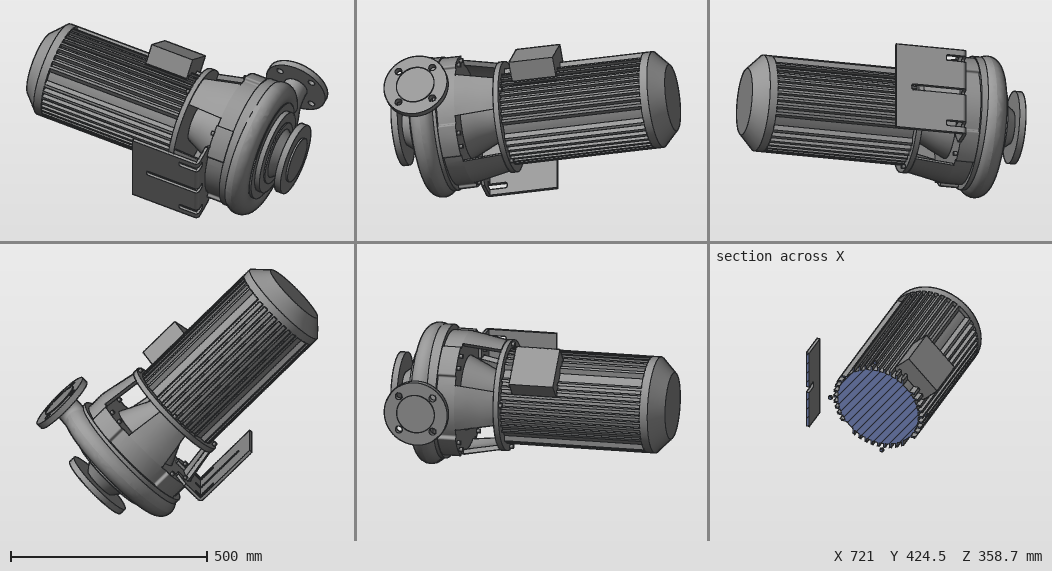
import cadquery as cq
import math


cap_cone_end = 37.5
cap_end = 58.5
motor_end = 423.0
adapter_start = 437.0
ring_start = 534.0
casing_start = 581.0
volute_middle = 619.0
hub_front = 665.0
collar_front = 668.5
suction_flange_start = 699.5
suction_flange_end = 716.0
overall_length = 721.0

motor_radius = 246.0 / 2
cap_end_radius = 85.0
motor_core_radius = 112.0
fin_thickness = 6.0
fin_span = 135.0
fins_per_side = 9

box_start = 277.5
box_length = 114.5
box_width = 111.0
box_height = 159.0
box_angle = 45

motor_flange_radius = 283.0 / 2
adapter_small_radius = 139.0
adapter_large_radius = 158.0
adapter_wall = 12.0
window_width = 122.5
bearing_small_radius = 99.0 / 2
bearing_large_radius = 192.0 / 2

ring_radius = 168.0
pocket_half_angle = 30
pocket_fillet = 4.0

screw_diameter = 10.0
screw_head = 9.0
motor_screw_circle = 133.5
motor_screw_offset = 4
ring_screw_circle = 158.0
ring_screw_angles = (38.5, 51.5, 128, 234, 308.5, 321.5)

foot_thickness = 8.0
foot_width = 228.5
foot_start = 350.0
foot_bottom = -198.0
foot_corner_y = -138.0
foot_top_y = -110.0
foot_top_half_width = 87.0
foot_bend_radius = 10.0
leg_notch_half_width = 60.0
foot_slot_width = 16.0
foot_slot_corner = 5.0
foot_slot_top = -172.0
side_slot_start = 481.0
side_slot_z = 90.0
middle_slot_start = 390.0
foot_screw_y = -131.0
foot_screw_z = 78.0

casing_radius = 342.0 / 2
volute_diameter = 64.0
volute_outlet_reach = 159.0
volute_throat_reach = 141.0
throat_arc_shift = 2.0
outlet_bend_radius = 47.0
volute_sections = 10
casing_core_radius = 130.0
hub_radius = 218.0 / 2
collar_radius = 165.0 / 2
suction_cone_radius = 65.5
suction_neck_radius = 42.5
suction_flange_radius = 185.0 / 2
suction_face_radius = 118.0 / 2

discharge_flange_radius = 165.0 / 2
discharge_face_radius = 99.0 / 2
discharge_flange_start = 208.0
discharge_flange_end = 224.0
discharge_face_end = 226.5
discharge_bolt_circle = 125.0
discharge_hole_diameter = 18.0

overlap = 3.5


def cylinder(start, end, radius):
    """Cylinder on the shaft axis."""
    return cq.Workplane("YZ", origin=(start, 0, 0)).circle(radius).extrude(end - start)


def cone(start, end, start_radius, end_radius):
    """Truncated cone on the shaft axis."""
    profile = [(start, 0), (start, start_radius), (end, end_radius), (end, 0)]
    return cq.Workplane("XY").polyline(profile).close().revolve(360, (0, 0, 0), (1, 0, 0))


def block(start, end, y_size, z_size):
    """Box centred on the shaft axis."""
    return cq.Workplane("YZ", origin=(start, 0, 0)).rect(y_size, z_size).extrude(end - start)


def polar(radius, angle):
    """Point (y, z) at an angle around the shaft."""
    return radius * math.cos(math.radians(angle)), radius * math.sin(math.radians(angle))


def screw_heads(seat, points):
    """Screw heads standing on the -X side of a seat."""
    plane = cq.Workplane("YZ", origin=(seat - screw_head, 0, 0))
    return plane.pushPoints(points).circle(screw_diameter / 2).extrude(screw_head + overlap)


def make_motor():
    cap = cone(0, cap_cone_end, cap_end_radius, motor_radius)
    cap = cap.union(cylinder(cap_cone_end, cap_end, motor_radius))
    core = cylinder(cap_end - overlap, motor_end + overlap, motor_core_radius)

    fin_pitch = fin_span / (fins_per_side - 1)
    fins = None
    for index in range(fins_per_side):
        offset = index * fin_pitch - fin_span / 2
        for y_size, z_size, shift in (
            (2 * motor_radius, fin_thickness, (0, 0, offset)),
            (fin_thickness, 2 * motor_radius, (0, offset, 0)),
        ):
            fin = block(cap_end - overlap, motor_end + overlap, y_size, z_size).translate(shift)
            fins = fin if fins is None else fins.union(fin)
    fins = fins.intersect(cylinder(0, motor_end + overlap, motor_radius))
    return cap.union(core).union(fins)


def make_terminal_box():
    box = cq.Workplane("XY", origin=(box_start, 0, 0)).box(
        box_length, box_width, box_height, centered=(False, True, False)
    )
    return box.rotate((0, 0, 0), (1, 0, 0), -box_angle)


def make_adapter():
    flange = cylinder(motor_end, adapter_start, motor_flange_radius)
    shell = cone(adapter_start, ring_start, adapter_small_radius, adapter_large_radius)
    shell = shell.cut(
        cone(
            adapter_start,
            ring_start,
            adapter_small_radius - adapter_wall,
            adapter_large_radius - adapter_wall,
        )
    )
    for angle in (45, 135):
        window = block(adapter_start, ring_start, 4 * adapter_large_radius, window_width)
        shell = shell.cut(window.rotate((0, 0, 0), (1, 0, 0), angle))
    bearing_housing = cone(adapter_start, ring_start, bearing_small_radius, bearing_large_radius)

    quarter_turns = range(0, 360, 90)
    screws = [polar(motor_screw_circle, turn + motor_screw_offset) for turn in quarter_turns]
    return flange.union(shell).union(bearing_housing).union(screw_heads(motor_end, screws))


def make_mounting_ring():
    outline = cq.Workplane("YZ", origin=(ring_start, 0, 0))
    outline = outline.moveTo(*polar(adapter_large_radius, -pocket_half_angle))
    for turn in range(0, 360, 90):
        pad_start = turn + pocket_half_angle
        pad_end = turn + 90 - pocket_half_angle
        outline = (
            outline.threePointArc(polar(adapter_large_radius, turn), polar(adapter_large_radius, pad_start))
            .lineTo(*polar(ring_radius, pad_start))
            .threePointArc(polar(ring_radius, turn + 45), polar(ring_radius, pad_end))
            .lineTo(*polar(adapter_large_radius, pad_end))
        )
    ring = outline.close().extrude(casing_start - ring_start)
    ring = ring.edges("|X").fillet(pocket_fillet)

    screws = [polar(ring_screw_circle, angle) for angle in ring_screw_angles]
    return ring.union(screw_heads(ring_start, screws))


def make_foot():
    half_width = foot_width / 2
    lip_start = ring_start - foot_thickness
    outline = [
        (foot_bottom, -half_width),
        (foot_corner_y, -half_width),
        (foot_top_y, -foot_top_half_width),
        (foot_top_y, foot_top_half_width),
        (foot_corner_y, half_width),
        (foot_bottom, half_width),
    ]
    lip = cq.Workplane("YZ", origin=(lip_start, 0, 0)).polyline(outline).close().extrude(foot_thickness)
    notch = cylinder(lip_start, ring_start, adapter_large_radius)
    notch = notch.intersect(block(lip_start, ring_start, 2 * ring_radius, 2 * leg_notch_half_width))
    lip = lip.cut(notch)

    plate = cq.Workplane("XY", origin=(foot_start, foot_bottom, 0)).box(
        ring_start - foot_start, foot_thickness, foot_width, centered=(False, False, True)
    )
    foot = plate.union(lip)
    foot = foot.edges("|Z and >X and <Y").fillet(foot_bend_radius)

    def slot(start, z):
        """Slot that runs along the plate, round the bend and up the lip."""
        length = ring_start - start
        height = foot_slot_top - foot_bottom
        cutter = cq.Workplane("XY", origin=(start, foot_bottom, z)).box(
            length, foot_thickness, foot_slot_width, centered=(False, False, True)
        )
        cutter = cutter.edges("|Y and <X").fillet(foot_slot_corner)
        riser = cq.Workplane("XY", origin=(lip_start, foot_bottom, z)).box(
            foot_thickness, height, foot_slot_width, centered=(False, False, True)
        )
        riser = riser.edges("|X and >Y").fillet(foot_slot_corner)
        return cutter.union(riser)

    for start, z in (
        (side_slot_start, -side_slot_z),
        (middle_slot_start, 0),
        (side_slot_start, side_slot_z),
    ):
        foot = foot.cut(slot(start, z))
    screws = [(foot_screw_y, -foot_screw_z), (foot_screw_y, foot_screw_z)]
    return foot.union(screw_heads(lip_start, screws))


def make_volute():
    tube_radius = volute_diameter / 2

    bend_z = -outlet_bend_radius
    bend_distance = volute_outlet_reach + outlet_bend_radius
    bend_y = math.sqrt(bend_distance**2 - bend_z**2)
    outlet_angle = math.degrees(math.asin(bend_z / bend_distance))
    throat_angle = -270

    sections = []
    for index in range(volute_sections):
        share = index / (volute_sections - 1)
        angle = outlet_angle + share * (throat_angle - outlet_angle)
        reach = volute_outlet_reach + share * (volute_throat_reach - volute_outlet_reach)
        center = cq.Vector(volute_middle, *polar(reach, angle))
        tangent = cq.Vector(0, *polar(1, angle - 90))
        sections.append(cq.Wire.makeCircle(tube_radius, center, tangent))
    spiral = cq.Workplane(cq.Solid.makeLoft(sections))

    throat_axis = -volute_throat_reach - throat_arc_shift
    throat = (
        cq.Workplane("XZ", origin=(volute_middle, 0, volute_throat_reach))
        .circle(tube_radius)
        .revolve(90, (0, throat_axis, 0), (-1, throat_axis, 0))
    )

    bend_turn = 90 + outlet_angle
    bend = (
        cq.Workplane("XZ", origin=(volute_middle, bend_y, 0))
        .circle(tube_radius)
        .revolve(bend_turn, (0, bend_z, 0), (1, bend_z, 0))
    )

    def discharge(start, end, radius):
        return cq.Workplane("XZ", origin=(volute_middle, start, 0)).circle(radius).extrude(start - end)

    flange = discharge(discharge_flange_start, discharge_flange_end, discharge_flange_radius)
    flange = flange.union(discharge(discharge_flange_end, discharge_face_end, discharge_face_radius))
    holes = (
        cq.Workplane("XZ", origin=(volute_middle, discharge_flange_start, 0))
        .polarArray(discharge_bolt_circle / 2, 45, 360, 4)
        .circle(discharge_hole_diameter / 2)
        .extrude(discharge_flange_start - discharge_face_end)
    )
    neck = discharge(bend_y, discharge_flange_start, tube_radius)
    return spiral.union(throat).union(bend).union(neck).union(flange.cut(holes))


def make_casing():
    volute_front = volute_middle + volute_diameter / 2
    disc = cylinder(casing_start, volute_middle, casing_radius)
    core = cylinder(casing_start, volute_front, casing_core_radius)
    hub = cylinder(volute_front, hub_front, hub_radius)
    collar = cylinder(hub_front, collar_front, collar_radius)
    return disc.union(core).union(hub).union(collar)


def make_suction():
    neck = cone(collar_front, suction_flange_start, suction_cone_radius, suction_neck_radius)
    flange = cylinder(suction_flange_start, suction_flange_end, suction_flange_radius)
    face = cylinder(suction_flange_end, overall_length, suction_face_radius)
    return neck.union(flange).union(face)


result = (
    make_motor()
    .union(make_terminal_box())
    .union(make_adapter())
    .union(make_mounting_ring())
    .union(make_foot())
    .union(make_casing())
    .union(make_volute())
    .union(make_suction())
)